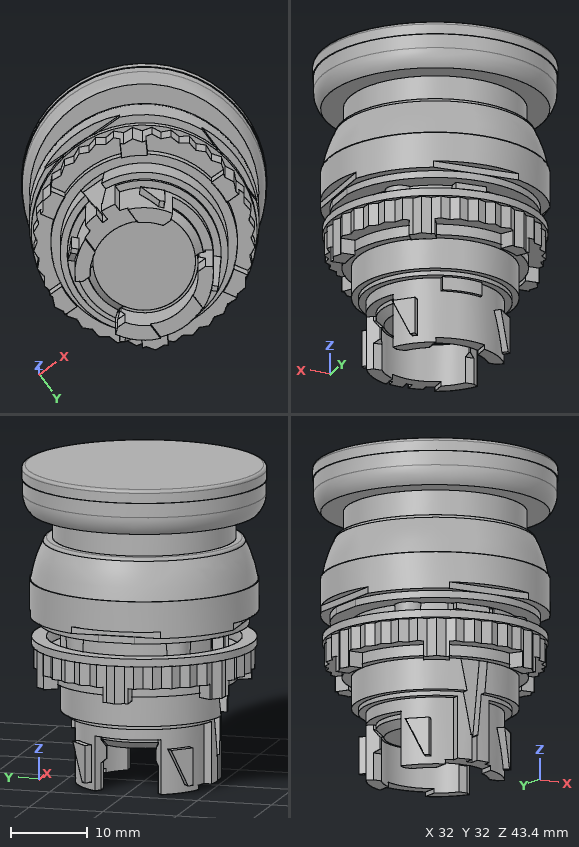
import cadquery as cq
import math


TOTAL_HEIGHT = 43.4
CAP_DIAMETER = 32.0
CAP_RADIUS = CAP_DIAMETER / 2
CAP_LOWER_RADIUS = 15.9
CAP_BOTTOM_RADIUS = 14.95
CAP_DOME_RADIUS = 15.55
CAP_DOME_BASE_Z = 42.1
CAP_RIM_TOP_Z = 41.65
CAP_STEP_Z = 40.3
CAP_ROUND_TOP_Z = 38.4
CAP_BOTTOM_Z = 36.0
CAP_ROUND_MIDPOINT = (15.62, 37.0)
NECK_RADIUS = 12.0

BEZEL_TOP_Z = 32.45
BEZEL_TOP_RADIUS = 12.75
BEZEL_EDGE_ROUND = 0.45
BEZEL_BASE_RADIUS = 14.85
BEZEL_SIDE_MIDPOINT = (14.25, 29.5)

COLLAR_RADIUS = 14.97
COLLAR_TOP_Z = 27.0
COLLAR_FLAT_TOP_Z = 22.95
COLLAR_FLAT_DISTANCE = 13.7
COLLAR_BOTTOM_Z = 22.1
BARREL_RADIUS = 10.95
BARREL_BOTTOM_Z = 9.55
STEP_RADIUS = 10.03
STEP_BOTTOM_Z = 8.95
LEG_OUTER_RADIUS = 9.03
LEG_INNER_RADIUS = 7.05
LEG_ROOT_Z = 7.35
LEG_GAP_HALF_WIDTH = 3.85
LEG_BEVEL_START_X = 7.07
LEG_BEVEL_SLOPE = 0.79
LEG_NOTCH_HALF_WIDTH = 3.45
LEG_NOTCH_HEIGHT = 0.6
HOOK_GAP_HALF_WIDTH = 3.35
HOOK_TOP_Z = 5.75
HOOK_LOW_Z = 4.1
HOOK_ROOT_Z = 3.6

PLUNGER_RADIUS = 7.73
PLUNGER_TIP_RADIUS = 6.7
PLUNGER_TIP_Z = HOOK_TOP_Z
PLUNGER_CONE_TOP_Z = 6.73

RIB_HALF_WIDTH = 2.4
KEY_HALF_WIDTH = 2.78
KEY_RADIUS = 9.5
KEY_BOTTOM_Z = 7.1

SLOT_FLOOR_Y = -8.7
SLOT_TOP_Z = 20.3
SLOT_TOP_LEFT_X = -3.75
SLOT_TOP_RIGHT_X = 2.1
SLOT_TIP_Z = 4.0
SLOT_TIP_HALF_WIDTH = 0.5
SLOT_TAIL_HALF_WIDTH = 0.4
NOTCH_FLOOR_Y = -10.15
NOTCH_LEFT_X = -4.4
NOTCH_RIGHT_X = 2.6
SLOT_PLUG_LEFT_X = -3.3
SLOT_PLUG_RIGHT_X = 1.7

TAB_HALF_WIDTH = 2.15
TAB_REACH = 12.05
BOSS_TOP_RADIUS = 1.95
BOSS_BOTTOM_RADIUS = 1.7
BOSS_CENTRE_RADIUS = 10.05
BOSS_ANGLE = 40.0

WEDGE_FACE_DISTANCE = 9.85
WEDGE_TOP_Z = 6.05
WEDGE_BOTTOM_Z = 1.05
WEDGE_UPRIGHT_END = 1.7
WEDGE_TOP_END = -1.5
WEDGE_BOTTOM_END = 1.0
WEDGE_SHIFT = -0.5

GASKET_RADIUS = 13.7
GASKET_BOTTOM_Z = 21.15
GASKET_FLAT_DISTANCE = 13.5

NUT_FLANGE_RADIUS = 14.7
NUT_TOP_Z = 19.3
NUT_RECESS_RADIUS = 12.75
NUT_RECESS_FLOOR_Z = 17.58
NUT_FLANGE_BOTTOM_Z = 18.25
NUT_TEETH_BOTTOM_Z = 15.25
NUT_BOTTOM_Z = 13.75
NUT_LUG_BOTTOM_Z = 13.2
NUT_SKIRT_RADIUS = 12.15
TOOTH_COUNT = 36
TOOTH_TIP_RADIUS = 14.45
TOOTH_ROOT_RADIUS = 13.95
LUG_COUNT = 6
LUG_WIDTH = 3.4

AXIS_START = (0, 0, 0)
AXIS_END = (0, 1, 0)


def cylinder(radius, bottom_z, top_z):
    return cq.Workplane("XY").workplane(offset=bottom_z).circle(radius).extrude(top_z - bottom_z)


def box(x_min, x_max, y_min, y_max, z_min, z_max):
    size = (x_max - x_min, y_max - y_min, z_max - z_min)
    return cq.Workplane("XY").box(*size, centered=False).translate((x_min, y_min, z_min))


def turned(profile):
    """Revolve a closed radius-height outline about Z."""
    return profile.close().revolve(360, AXIS_START, AXIS_END)


def make_button():
    """Domed cap on a neck that rests on the housing."""
    dome_rise = TOTAL_HEIGHT - CAP_DOME_BASE_Z
    sphere_radius = (CAP_DOME_RADIUS**2 + dome_rise**2) / (2 * dome_rise)
    mid_radius = CAP_DOME_RADIUS / 2
    mid_z = TOTAL_HEIGHT - sphere_radius + math.sqrt(sphere_radius**2 - mid_radius**2)
    profile = (
        cq.Workplane("XZ")
        .moveTo(0, COLLAR_TOP_Z)
        .lineTo(NECK_RADIUS, COLLAR_TOP_Z)
        .lineTo(NECK_RADIUS, CAP_BOTTOM_Z)
        .lineTo(CAP_BOTTOM_RADIUS, CAP_BOTTOM_Z)
        .threePointArc(CAP_ROUND_MIDPOINT, (CAP_LOWER_RADIUS, CAP_ROUND_TOP_Z))
        .lineTo(CAP_LOWER_RADIUS, CAP_STEP_Z)
        .lineTo(CAP_RADIUS, CAP_STEP_Z)
        .lineTo(CAP_RADIUS, CAP_RIM_TOP_Z)
        .tangentArcPoint((CAP_DOME_RADIUS, CAP_DOME_BASE_Z), relative=False)
        .threePointArc((mid_radius, mid_z), (0, TOTAL_HEIGHT))
    )
    return turned(profile)


def make_bezel():
    """Rounded ring around the button neck."""
    edge_radius = BEZEL_TOP_RADIUS + BEZEL_EDGE_ROUND
    edge_z = BEZEL_TOP_Z - BEZEL_EDGE_ROUND
    profile = (
        cq.Workplane("XZ")
        .moveTo(NECK_RADIUS, COLLAR_TOP_Z)
        .lineTo(NECK_RADIUS, BEZEL_TOP_Z)
        .lineTo(BEZEL_TOP_RADIUS, BEZEL_TOP_Z)
        .tangentArcPoint((edge_radius, edge_z), relative=False)
        .threePointArc(BEZEL_SIDE_MIDPOINT, (BEZEL_BASE_RADIUS, COLLAR_TOP_Z))
    )
    return turned(profile)


def make_collar():
    """Upper disc of the housing, with four flats around its lower edge."""
    collar = cylinder(COLLAR_RADIUS, COLLAR_FLAT_TOP_Z, COLLAR_TOP_Z)
    square = 2 * COLLAR_FLAT_DISTANCE
    lower = cylinder(COLLAR_RADIUS, COLLAR_BOTTOM_Z, COLLAR_FLAT_TOP_Z)
    lower = lower.intersect(cq.Workplane("XY").box(square, square, 2 * TOTAL_HEIGHT))
    return collar.union(lower)


def make_plunger():
    """Disc held between the leg roots, its lower edge coned."""
    profile = (
        cq.Workplane("XZ")
        .moveTo(0, PLUNGER_TIP_Z)
        .lineTo(PLUNGER_TIP_RADIUS, PLUNGER_TIP_Z)
        .lineTo(PLUNGER_RADIUS, PLUNGER_CONE_TOP_Z)
        .lineTo(PLUNGER_RADIUS, LEG_ROOT_Z)
        .lineTo(0, LEG_ROOT_Z)
    )
    return turned(profile)


def bevelled_gap_ends():
    """Wedge-shaped cuts towards +X and -X that bevel the outer edges of the leg gap."""
    tip_x = LEG_BEVEL_START_X - LEG_GAP_HALF_WIDTH / LEG_BEVEL_SLOPE
    reach = 2 * LEG_OUTER_RADIUS
    half_width = (reach - tip_x) * LEG_BEVEL_SLOPE
    outline = [(tip_x, 0), (reach, half_width), (reach, -half_width)]
    gap_end = cq.Workplane("XY").polyline(outline).close().extrude(LEG_ROOT_Z)
    return gap_end.union(gap_end.rotate((0, 0, 0), (0, 0, 1), 180))


def leg_gap():
    """Passage along X that parts the lower sleeve into two legs, narrower between their hooks."""
    side = [
        (LEG_GAP_HALF_WIDTH, 0),
        (LEG_GAP_HALF_WIDTH, HOOK_ROOT_Z),
        (HOOK_GAP_HALF_WIDTH, HOOK_LOW_Z),
        (HOOK_GAP_HALF_WIDTH, HOOK_TOP_Z),
        (LEG_GAP_HALF_WIDTH, PLUNGER_CONE_TOP_Z),
        (LEG_GAP_HALF_WIDTH, LEG_ROOT_Z),
    ]
    mirrored_side = [(-y, z) for y, z in reversed(side)]
    passage = cq.Workplane("YZ").polyline(side + mirrored_side).close()
    return passage.extrude(LEG_OUTER_RADIUS, both=True).union(bevelled_gap_ends())


def tapered_slot():
    """Slot that narrows downwards to a thin tail."""
    outline = [
        (SLOT_TOP_LEFT_X, SLOT_TOP_Z),
        (SLOT_TOP_RIGHT_X, SLOT_TOP_Z),
        (SLOT_TIP_HALF_WIDTH, SLOT_TIP_Z),
        (SLOT_TAIL_HALF_WIDTH, SLOT_TIP_Z),
        (SLOT_TAIL_HALF_WIDTH, 0),
        (-SLOT_TAIL_HALF_WIDTH, 0),
        (-SLOT_TAIL_HALF_WIDTH, SLOT_TIP_Z),
        (-SLOT_TIP_HALF_WIDTH, SLOT_TIP_Z),
    ]
    slot = cq.Workplane("XZ").polyline(outline).close().extrude(BARREL_RADIUS)
    return slot.intersect(
        box(-BARREL_RADIUS, BARREL_RADIUS, -BARREL_RADIUS, SLOT_FLOOR_Y, 0, SLOT_TOP_Z)
    )


def make_wedge(corner_angle, shift):
    """Locking wedge on a leg: one end upright, the other sloping."""
    outline = [
        (WEDGE_UPRIGHT_END + shift, WEDGE_TOP_Z),
        (WEDGE_TOP_END + shift, WEDGE_TOP_Z),
        (WEDGE_BOTTOM_END + shift, WEDGE_BOTTOM_Z),
        (WEDGE_UPRIGHT_END + shift, WEDGE_BOTTOM_Z),
    ]
    wedge = cq.Workplane("YZ").polyline(outline).close().extrude(WEDGE_FACE_DISTANCE)
    wedge = wedge.cut(cylinder((LEG_INNER_RADIUS + LEG_OUTER_RADIUS) / 2, 0, LEG_ROOT_Z))
    return wedge.rotate((0, 0, 0), (0, 0, 1), corner_angle)


def make_boss(angle):
    """Tapered boss standing out of the barrel between the nut's recess and the gasket."""
    boss = (
        cq.Workplane("XY")
        .workplane(offset=NUT_RECESS_FLOOR_Z)
        .center(BOSS_CENTRE_RADIUS, 0)
        .circle(BOSS_BOTTOM_RADIUS)
        .workplane(offset=GASKET_BOTTOM_Z - NUT_RECESS_FLOOR_Z)
        .circle(BOSS_TOP_RADIUS)
        .loft()
    )
    return boss.rotate((0, 0, 0), (0, 0, 1), angle)


def make_housing():
    """Collar, barrel and two hooked legs in one piece."""
    housing = make_collar()
    housing = housing.union(cylinder(BARREL_RADIUS, BARREL_BOTTOM_Z, COLLAR_BOTTOM_Z))
    housing = housing.union(cylinder(STEP_RADIUS, STEP_BOTTOM_Z, BARREL_BOTTOM_Z))
    housing = housing.union(cylinder(LEG_OUTER_RADIUS, 0, STEP_BOTTOM_Z))

    rib = cylinder(STEP_RADIUS, 0, STEP_BOTTOM_Z)
    rib_limits = box(-RIB_HALF_WIDTH, RIB_HALF_WIDTH, -STEP_RADIUS, 0, 0, STEP_BOTTOM_Z)
    housing = housing.union(rib.intersect(rib_limits))
    key = cylinder(KEY_RADIUS, KEY_BOTTOM_Z, STEP_BOTTOM_Z)
    key_limits = box(-KEY_HALF_WIDTH, KEY_HALF_WIDTH, 0, KEY_RADIUS, KEY_BOTTOM_Z, STEP_BOTTOM_Z)
    housing = housing.union(key.intersect(key_limits))

    housing = housing.cut(cylinder(LEG_INNER_RADIUS, 0, PLUNGER_TIP_Z))
    housing = housing.cut(make_plunger()).cut(leg_gap())
    housing = housing.cut(
        box(-LEG_NOTCH_HALF_WIDTH, LEG_NOTCH_HALF_WIDTH, -STEP_RADIUS, STEP_RADIUS, 0, LEG_NOTCH_HEIGHT)
    )
    for corner_angle, shift in ((45, WEDGE_SHIFT), (135, 0), (225, 0), (315, WEDGE_SHIFT)):
        housing = housing.union(make_wedge(corner_angle, shift).cut(leg_gap()))

    for angle in (BOSS_ANGLE, 180 - BOSS_ANGLE, 180 + BOSS_ANGLE, -BOSS_ANGLE):
        housing = housing.union(make_boss(angle))
    tab = box(-TAB_HALF_WIDTH, TAB_HALF_WIDTH, 0, TAB_REACH, SLOT_TOP_Z, GASKET_BOTTOM_Z)
    housing = housing.union(tab)
    notch = box(NOTCH_LEFT_X, NOTCH_RIGHT_X, -TAB_REACH, NOTCH_FLOOR_Y, NUT_RECESS_FLOOR_Z, GASKET_BOTTOM_Z)
    housing = housing.cut(notch).cut(tapered_slot())
    plug = box(
        SLOT_PLUG_LEFT_X, SLOT_PLUG_RIGHT_X, -BARREL_RADIUS, SLOT_FLOOR_Y, SLOT_TOP_Z, GASKET_BOTTOM_Z
    )
    return housing.union(plug)


def make_gasket():
    """Seal around the barrel, trimmed flat towards +X and -X."""
    gasket = cylinder(GASKET_RADIUS, GASKET_BOTTOM_Z, COLLAR_BOTTOM_Z)
    limits = cq.Workplane("XY").box(2 * GASKET_FLAT_DISTANCE, 2 * GASKET_RADIUS, 2 * TOTAL_HEIGHT)
    return gasket.intersect(limits).cut(cylinder(BARREL_RADIUS, GASKET_BOTTOM_Z, COLLAR_BOTTOM_Z))


def toothed_disc(bottom_z, top_z):
    """Disc with a zigzag rim of pointed teeth."""
    outline = []
    for index in range(2 * TOOTH_COUNT):
        angle = math.pi * index / TOOTH_COUNT
        radius = TOOTH_TIP_RADIUS if index % 2 == 0 else TOOTH_ROOT_RADIUS
        outline.append((radius * math.cos(angle), radius * math.sin(angle)))
    return cq.Workplane("XY").workplane(offset=bottom_z).polyline(outline).close().extrude(top_z - bottom_z)


def make_nut():
    """Toothed lock nut with a recessed top and six lugs below."""
    nut = cylinder(NUT_FLANGE_RADIUS, NUT_FLANGE_BOTTOM_Z, NUT_TOP_Z)
    nut = nut.union(toothed_disc(NUT_TEETH_BOTTOM_Z, NUT_FLANGE_BOTTOM_Z))
    nut = nut.union(cylinder(NUT_SKIRT_RADIUS, NUT_BOTTOM_Z, NUT_TEETH_BOTTOM_Z))

    recess = cylinder(NUT_RECESS_RADIUS, NUT_RECESS_FLOOR_Z, NUT_TOP_Z)
    nut = nut.cut(recess)

    lug_bars = cq.Workplane("XY")
    for index in range(LUG_COUNT // 2):
        bar = box(-NUT_FLANGE_RADIUS, NUT_FLANGE_RADIUS, -LUG_WIDTH / 2, LUG_WIDTH / 2, 0, TOTAL_HEIGHT)
        lug_bars = lug_bars.union(bar.rotate((0, 0, 0), (0, 0, 1), 360 * index / LUG_COUNT))
    lugs = toothed_disc(NUT_LUG_BOTTOM_Z, NUT_TEETH_BOTTOM_Z).intersect(lug_bars)
    lugs = lugs.cut(cylinder(NUT_SKIRT_RADIUS, NUT_LUG_BOTTOM_Z, NUT_BOTTOM_Z))
    return nut.union(lugs).cut(cylinder(BARREL_RADIUS, 0, TOTAL_HEIGHT))


button = make_button()
bezel = make_bezel()
housing = make_housing()
plunger = make_plunger()
gasket = make_gasket()
nut = make_nut()

bodies = [button, bezel, housing, plunger, gasket, nut]

result = cq.Compound.makeCompound([body.solids().val() for body in bodies])